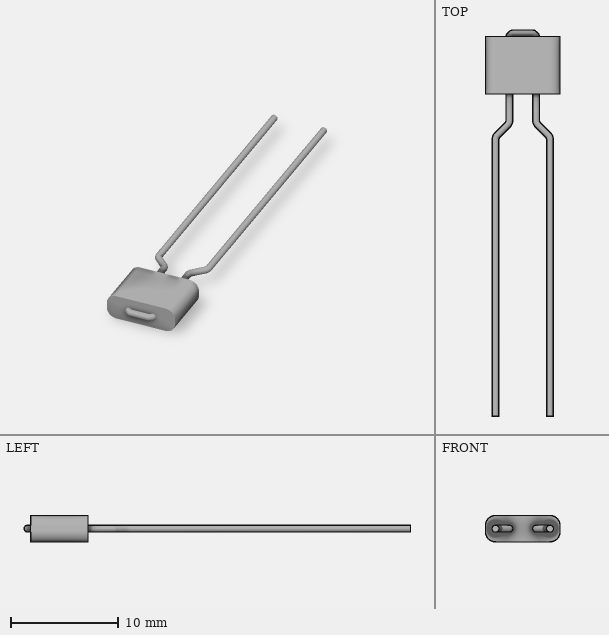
import cadquery as cq
import math

total_length = 36.0
body_width = 7.0
body_length = 5.35
body_thickness = 2.5
body_corner_radius = 0.97

wire_diameter = 0.65
loop_overhang = 0.6
loop_bend_radius = 0.35
loop_bend_angle = math.radians(90)
inner_pitch = 2.5
outer_pitch = 5.08
straight_below_body = 2.45
crank_bend_radius = 0.6
crank_angle = math.radians(45)

loop_centre_y = body_length + loop_overhang - wire_diameter / 2
wire_end_y = body_length + loop_overhang - total_length
crank_start_y = -straight_below_body

inner_x = inner_pitch / 2
outer_x = outer_pitch / 2
bend_side_step = crank_bend_radius * (1 - math.cos(crank_angle))
bend_drop = crank_bend_radius * math.sin(crank_angle)
slope_drop = (outer_x - inner_x - 2 * bend_side_step) / math.tan(crank_angle)
crank_end_y = crank_start_y - 2 * bend_drop - slope_drop


def make_body():
    """Flat block with its four lengthwise edges rounded."""
    block = cq.Workplane("XY").box(body_width, body_length, body_thickness)
    return block.edges("|Y").fillet(body_corner_radius).translate((0, body_length / 2, 0))


def arc_midpoint(centre_x, centre_y, radius, angle):
    """Point on a circle at the given angle from the +X direction."""
    return (centre_x + radius * math.cos(angle), centre_y + radius * math.sin(angle))


def make_half_wire():
    """Right half of the wire, from the middle of the loop to the free end."""
    loop_straight_x = inner_x - loop_bend_radius
    loop_bend_end_y = loop_centre_y - loop_bend_radius
    loop_mid = arc_midpoint(loop_straight_x, loop_bend_end_y, loop_bend_radius, loop_bend_angle / 2)

    upper_centre_x = inner_x + crank_bend_radius
    upper_mid = arc_midpoint(
        upper_centre_x, crank_start_y, crank_bend_radius, math.pi + crank_angle / 2
    )
    lower_centre_x = outer_x - crank_bend_radius
    lower_mid = arc_midpoint(lower_centre_x, crank_end_y, crank_bend_radius, crank_angle / 2)

    path = (
        cq.Workplane("XY")
        .moveTo(0, loop_centre_y)
        .lineTo(loop_straight_x, loop_centre_y)
        .threePointArc(loop_mid, (inner_x, loop_bend_end_y))
        .lineTo(inner_x, crank_start_y)
        .threePointArc(upper_mid, (inner_x + bend_side_step, crank_start_y - bend_drop))
        .lineTo(outer_x - bend_side_step, crank_end_y + bend_drop)
        .threePointArc(lower_mid, (outer_x, crank_end_y))
        .lineTo(outer_x, wire_end_y)
    )
    section = cq.Workplane("YZ", origin=(0, loop_centre_y, 0)).circle(wire_diameter / 2)
    return section.sweep(path)


right_wire = make_half_wire()
left_wire = right_wire.mirror("YZ")
wire = right_wire.union(left_wire)
result = make_body().union(wire)